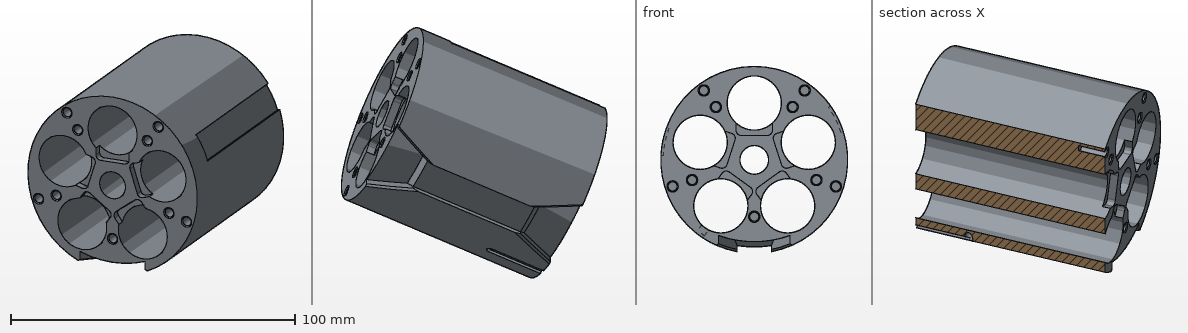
import cadquery as cq
import math

DRUM_RADIUS = 32.9
DRUM_LENGTH = 72.0
AXLE_DIAMETER = 10.0

CHAMBER_COUNT = 5
CHAMBER_PITCH_ANGLE = 360.0 / CHAMBER_COUNT
FIRST_CHAMBER_ANGLE = 90.0
CHAMBER_DIAMETER = 19.0
CHAMBER_CIRCLE_RADIUS = 20.0

POCKET_WIDTH = 12.8
POCKET_INNER_RADIUS = 8.6
POCKET_CORNER_RADIUS = 1.8
POCKET_DEPTH = 3.0

SCREW_DIAMETER = 3.2
SCREW_MOUTH_DIAMETER = 4.0
SCREW_CHAMFER = (SCREW_MOUTH_DIAMETER - SCREW_DIAMETER) / 2
SCREW_DEPTH = 10.0
FIRST_SCREW_ANGLE = 270.0
OUTER_SCREW_RADIUS = 30.2
INNER_SCREW_RADIUS = 23.0
BOTTOM_SCREW_RADIUS = 20.0

GROOVE_SPAN_ANGLE = 17.7
GROOVE_LENGTH = 60.0
GROOVE_DEPTH = 0.9
GROOVE_ANGLES = (26.4, 168.5)

SLOT_ANGLE = 234.0
SLOT_WIDTH = 3.0
SLOT_LENGTH = 21.6
SLOT_DEPTH = 1.0

THROAT_HALF_WIDTH = 6.0
THROAT_FLOOR_Z = -30.7
FLARE_HALF_WIDTH = 12.6
FLARE_LENGTH = 15.0
FLARE_FLOOR_Z = -28.8
FLARE_FLOOR_RADIUS = 37.0
FLARE_BEVEL = 0.85

OVERCUT = 5.0


def radial_point(radius, angle):
    """X and Z of a point at a polar position about the drum axis."""
    return (
        radius * math.cos(math.radians(angle)),
        radius * math.sin(math.radians(angle)),
    )


def bar(outline):
    """Extrude an XZ outline along the full drum length."""
    return outline.extrude(-DRUM_LENGTH)


def turn(shape, angle):
    """Rotate a shape from the +X direction to the given angle, measured from +X toward +Z."""
    return shape.rotate((0, 0, 0), (0, 1, 0), -angle)


def make_drum():
    """Plain cylinder with the axle bore."""
    drum = bar(cq.Workplane("XZ").circle(DRUM_RADIUS))
    return drum.cut(bar(cq.Workplane("XZ").circle(AXLE_DIAMETER / 2)))


def make_chamber():
    """Through bore and mouth pocket, placed on the +X axis."""
    bore = bar(cq.Workplane("XZ").center(CHAMBER_CIRCLE_RADIUS, 0).circle(CHAMBER_DIAMETER / 2))
    pocket_length = CHAMBER_CIRCLE_RADIUS - POCKET_INNER_RADIUS
    pocket = (
        cq.Workplane("XY")
        .box(pocket_length, POCKET_DEPTH, POCKET_WIDTH, centered=(False, False, True))
        .edges("|Y and <X")
        .fillet(POCKET_CORNER_RADIUS)
        .translate((POCKET_INNER_RADIUS, 0, 0))
    )
    return bore.union(pocket)


def make_screw_hole(radius, angle):
    """Blind hole in the front face with a chamfered mouth."""
    x, z = radial_point(radius, angle)
    hole = cq.Workplane("XZ").circle(SCREW_DIAMETER / 2).extrude(-SCREW_DEPTH)
    mouth = cq.Solid.makeCone(
        SCREW_MOUTH_DIAMETER / 2, SCREW_DIAMETER / 2, SCREW_CHAMFER,
        cq.Vector(0, 0, 0), cq.Vector(0, 1, 0),
    )
    return hole.union(cq.Workplane(mouth)).translate((x, 0, z))


def make_groove(middle_angle):
    """Shallow sector with radial side walls, open at the rear face."""
    reach = DRUM_RADIUS + OVERCUT
    first_side = radial_point(reach, middle_angle - GROOVE_SPAN_ANGLE / 2)
    second_side = radial_point(reach, middle_angle + GROOVE_SPAN_ANGLE / 2)
    sector = (
        cq.Workplane("XZ", origin=(0, DRUM_LENGTH - GROOVE_LENGTH, 0))
        .polyline([(0, 0), first_side, second_side])
        .close()
        .extrude(-GROOVE_LENGTH)
    )
    core = bar(cq.Workplane("XZ").circle(DRUM_RADIUS - GROOVE_DEPTH))
    return sector.cut(core)


def make_slot():
    """Shallow slot open at the rear face, ending in a round hole into the chamber."""
    hole_y = DRUM_LENGTH - SLOT_LENGTH + SLOT_WIDTH / 2
    reach = DRUM_RADIUS + OVERCUT
    slot = (
        cq.Workplane("XY")
        .box(SLOT_DEPTH + OVERCUT, DRUM_LENGTH - hole_y, SLOT_WIDTH, centered=(False, False, True))
        .translate((DRUM_RADIUS - SLOT_DEPTH, hole_y, 0))
    )
    hole = (
        cq.Workplane("YZ", origin=(CHAMBER_CIRCLE_RADIUS, hole_y, 0))
        .circle(SLOT_WIDTH / 2)
        .extrude(reach - CHAMBER_CIRCLE_RADIUS)
    )
    return turn(slot.union(hole), SLOT_ANGLE)


def make_channel():
    """Hourglass channel along the bottom; its arched floor is deeper in the two mouths."""
    bottom = -DRUM_RADIUS - OVERCUT
    throat_start = FLARE_LENGTH
    throat_end = DRUM_LENGTH - FLARE_LENGTH
    channel = (
        cq.Workplane("XY", origin=(0, 0, bottom))
        .polyline([
            (-FLARE_HALF_WIDTH, 0),
            (FLARE_HALF_WIDTH, 0),
            (THROAT_HALF_WIDTH, throat_start),
            (THROAT_HALF_WIDTH, throat_end),
            (FLARE_HALF_WIDTH, DRUM_LENGTH),
            (-FLARE_HALF_WIDTH, DRUM_LENGTH),
            (-THROAT_HALF_WIDTH, throat_end),
            (-THROAT_HALF_WIDTH, throat_start),
        ])
        .close()
        .extrude(-bottom)
    )
    floor_axis_z = FLARE_FLOOR_Z + FLARE_FLOOR_RADIUS
    throat_floor_radius = floor_axis_z - THROAT_FLOOR_Z
    floor_step = throat_floor_radius - FLARE_FLOOR_RADIUS
    ramp_start = throat_start - floor_step
    core = (
        cq.Workplane("XY")
        .polyline([
            (0, 0),
            (FLARE_FLOOR_RADIUS, 0),
            (FLARE_FLOOR_RADIUS, ramp_start),
            (throat_floor_radius, throat_start),
            (throat_floor_radius, throat_end),
            (FLARE_FLOOR_RADIUS, DRUM_LENGTH - ramp_start),
            (FLARE_FLOOR_RADIUS, DRUM_LENGTH),
            (0, DRUM_LENGTH),
        ])
        .close()
        .revolve(360, (0, 0, 0), (0, 1, 0))
        .translate((0, 0, floor_axis_z))
    )
    return channel.cut(core)


def bevel_flare_edges(drum):
    """Chamfer the four edges where the flared walls meet the outside of the drum."""
    middle_x = (THROAT_HALF_WIDTH + FLARE_HALF_WIDTH) / 2
    middle_z = -math.sqrt(DRUM_RADIUS ** 2 - middle_x ** 2)
    for x in (-middle_x, middle_x):
        for y in (FLARE_LENGTH / 2, DRUM_LENGTH - FLARE_LENGTH / 2):
            edge = drum.edges(cq.selectors.NearestToPointSelector((x, y, middle_z)))
            drum = edge.chamfer(FLARE_BEVEL)
    return drum


def cut_chambers(drum):
    for index in range(CHAMBER_COUNT):
        angle = FIRST_CHAMBER_ANGLE + index * CHAMBER_PITCH_ANGLE
        drum = drum.cut(turn(make_chamber(), angle))
    return drum


def cut_screw_holes(drum):
    """One hole above the channel, then a pair of holes between each other two chambers."""
    drum = drum.cut(make_screw_hole(BOTTOM_SCREW_RADIUS, FIRST_SCREW_ANGLE))
    for index in range(1, CHAMBER_COUNT):
        angle = FIRST_SCREW_ANGLE + index * CHAMBER_PITCH_ANGLE
        for radius in (INNER_SCREW_RADIUS, OUTER_SCREW_RADIUS):
            drum = drum.cut(make_screw_hole(radius, angle))
    return drum


def cut_grooves(drum):
    for angle in GROOVE_ANGLES:
        drum = drum.cut(make_groove(angle))
    return drum


result = make_drum()
result = cut_chambers(result)
result = cut_screw_holes(result)
result = cut_grooves(result)
result = result.cut(make_slot())
result = result.cut(make_channel())
result = bevel_flare_edges(result)